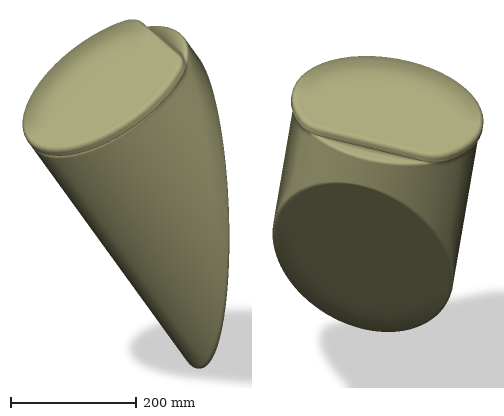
import cadquery as cq
import math

HOUSING_DIAMETER = 300.0
HOUSING_RADIUS = HOUSING_DIAMETER / 2
LEAN_ANGLE = math.degrees(math.atan2(2, 3))
RIM_CENTRE_DEPTH = 153.5
HOUSING_LENGTH = 569.0
RIM_EDGE_RADIUS = 4.85
BACK_EDGE_RADIUS = 5.5

LID_WIDTH = 310.0
LID_RADIUS = LID_WIDTH / 2
LID_LENGTH = 269.5
LID_THICKNESS = 16.5
LID_CORNER_RADIUS = 50.0
LID_TOP_RADIUS = 7.5
LID_BOTTOM_RADIUS = 3.0

RIM_PLANE = cq.Plane(origin=(0, -RIM_CENTRE_DEPTH, 0), xDir=(1, 0, 0), normal=(0, 0, 1)).rotated(
    (LEAN_ANGLE, 0, 0)
)


def make_housing():
    """Leaning cylinder cut off by the back plane at Y = 0, with all its edges rounded."""
    cylinder = cq.Workplane(RIM_PLANE).circle(HOUSING_RADIUS).extrude(-HOUSING_LENGTH)
    cutter_side = 4 * HOUSING_LENGTH
    space_behind = cq.Workplane("XZ").rect(cutter_side, cutter_side).extrude(-HOUSING_LENGTH)
    trimmed = cylinder.cut(space_behind)
    rounded_back = trimmed.faces(">Y").edges().fillet(BACK_EDGE_RADIUS)
    top_face = cq.selectors.DirectionMinMaxSelector(RIM_PLANE.zDir)
    return rounded_back.faces(top_face).edges().fillet(RIM_EDGE_RADIUS)


def make_lid():
    """Round plate with a flat rear edge, rounded rear corners and rounded rims."""
    centre_y = LID_RADIUS - HOUSING_RADIUS
    front_y = -HOUSING_RADIUS
    rear_y = front_y + LID_LENGTH
    rear_half_width = math.sqrt(LID_RADIUS**2 - (rear_y - centre_y) ** 2)
    plate = (
        cq.Workplane(RIM_PLANE)
        .moveTo(-rear_half_width, rear_y)
        .threePointArc((0, front_y), (rear_half_width, rear_y))
        .close()
        .extrude(LID_THICKNESS)
    )
    side_edges = cq.selectors.ParallelDirSelector(RIM_PLANE.zDir)
    top_face = cq.selectors.DirectionMinMaxSelector(RIM_PLANE.zDir)
    bottom_face = cq.selectors.DirectionMinMaxSelector(RIM_PLANE.zDir, directionMax=False)
    rounded_corners = plate.edges(side_edges).fillet(LID_CORNER_RADIUS)
    rounded_top = rounded_corners.faces(top_face).edges().fillet(LID_TOP_RADIUS)
    return rounded_top.faces(bottom_face).edges().fillet(LID_BOTTOM_RADIUS)


housing = make_housing()
lid = make_lid()

result = cq.Compound.makeCompound([housing.val(), lid.val()])